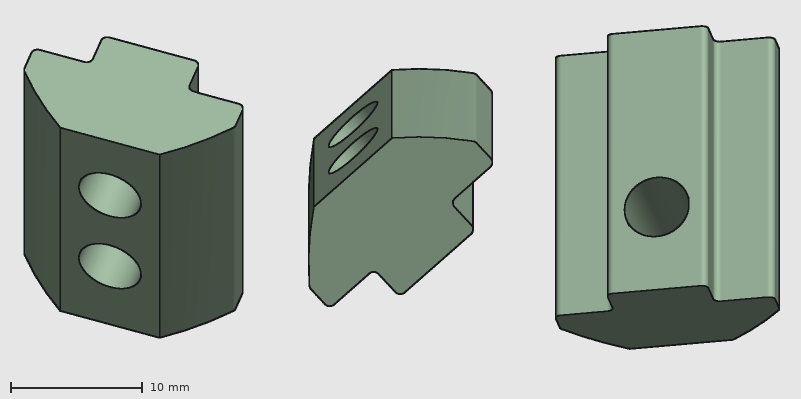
import cadquery as cq
import math

width = 17.0
thickness = 9.6
length = 22.0

neck_width = 7.8
neck_height = 2.9
nose_width = 8.0
side_start = 4.45
flank_radius = 25.0
edge_radius = 0.5

hole_diameter = 5.0
through_hole_z = 7.0
hole_spacing = 8.5
blind_hole_z = through_hole_z + hole_spacing
blind_hole_depth = 7.0
tip_height = 1.0
tip_flat_diameter = 0.3


def make_body():
    """Extrude the T-shaped section along Z and round its long edges."""
    shoulder = thickness - neck_height
    half_width = width / 2
    half_neck = neck_width / 2
    half_nose = nose_width / 2
    chord = math.hypot(half_width - half_nose, side_start)
    bulge = flank_radius - math.sqrt(flank_radius**2 - (chord / 2) ** 2)

    body = (
        cq.Workplane("XY")
        .moveTo(-half_nose, 0)
        .lineTo(half_nose, 0)
        .sagittaArc((half_width, side_start), -bulge)
        .lineTo(half_width, shoulder)
        .lineTo(half_neck, shoulder)
        .lineTo(half_neck, thickness)
        .lineTo(-half_neck, thickness)
        .lineTo(-half_neck, shoulder)
        .lineTo(-half_width, shoulder)
        .lineTo(-half_width, side_start)
        .sagittaArc((-half_nose, 0), -bulge)
        .close()
        .extrude(length)
    )
    nose_edge_zone = cq.selectors.BoxSelector(
        (-width, -edge_radius, 0), (width, edge_radius, length)
    )
    return body.edges(cq.StringSyntaxSelector("|Z") - nose_edge_zone).fillet(edge_radius)


def make_through_hole():
    """Plain cylinder running through the full thickness."""
    return (
        cq.Workplane("XZ", origin=(0, 0, through_hole_z))
        .circle(hole_diameter / 2)
        .extrude(-thickness)
    )


def make_blind_hole():
    """Cylinder with a conical end, revolved about the hole axis."""
    hole_radius = hole_diameter / 2
    flat_radius = tip_flat_diameter / 2
    tip_depth = blind_hole_depth + tip_height
    return (
        cq.Workplane("XY", origin=(0, 0, blind_hole_z))
        .lineTo(hole_radius, 0)
        .lineTo(hole_radius, blind_hole_depth)
        .lineTo(flat_radius, tip_depth)
        .lineTo(0, tip_depth)
        .close()
        .revolve(360, (0, 0, 0), (0, 1, 0))
    )


result = make_body().cut(make_through_hole()).cut(make_blind_hole())